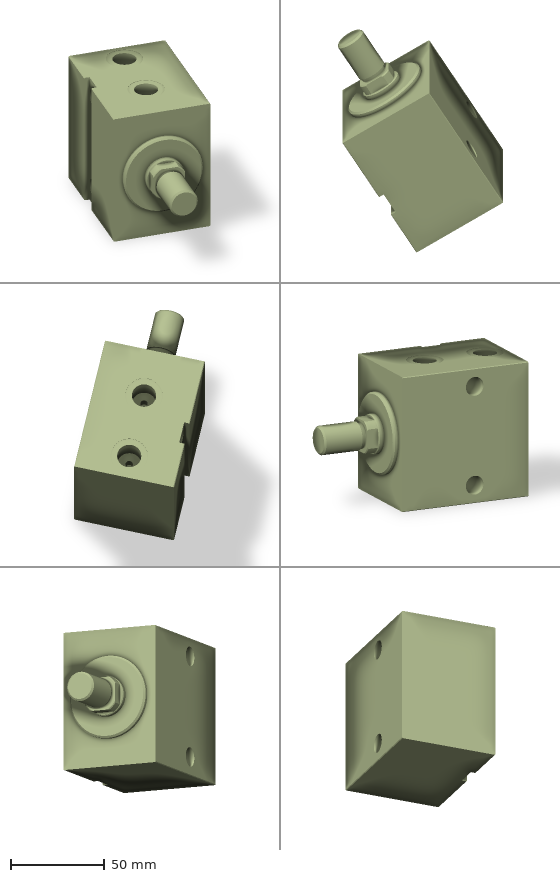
import cadquery as cq


housing_length = 75.0
housing_width = 55.0
housing_height = 75.0
long_edge_chamfer = 0.4

slot_center_x = 32.0
slot_width = 12.0
slot_depth = 3.0
bolt_hole_diameter = 10.5
bolt_hole_spacing = 55.0

rear_port_x = 12.5
front_port_x = 48.5
spotface_diameter = 20.0
spotface_depth = 0.2
port_diameter = 13.0
port_depth = 12.0
passage_diameter = 4.0

bore_diameter = 40.0
bore_rear_x = 5.0
piston_length = 20.0
piston_front_x = bore_rear_x + piston_length

gland_diameter = 45.0
gland_rear_x = 55.0
gland_projection = 3.0
gland_chamfer = 1.0
gland_front_x = housing_length + gland_projection

rod_diameter = 22.0
shank_projection = 3.0
shank_chamfer = 0.5
neck_diameter = rod_diameter - 2 * shank_chamfer
neck_length = 6.0
neck_chamfer = 0.5
across_flats = 18.0
undercut_diameter = 14.0
undercut_length = 2.5
undercut_fillet = 0.4
thread_diameter = 16.0
thread_length = 22.5
thread_chamfer = 1.0
shank_front_x = gland_front_x + shank_projection
neck_front_x = shank_front_x + neck_length
thread_rear_x = neck_front_x + undercut_length


def cylinder_x(diameter, rear_x, front_x):
    """Solid cylinder on the X axis between two X positions."""
    disc = cq.Workplane("YZ", origin=(rear_x, 0, 0)).circle(diameter / 2)
    return disc.extrude(front_x - rear_x)


def cylinder_down(diameter, x, top_z, bottom_z):
    """Solid vertical cylinder at (x, 0) from top_z down to bottom_z."""
    disc = cq.Workplane("XY", origin=(x, 0, bottom_z)).circle(diameter / 2)
    return disc.extrude(top_z - bottom_z)


def cut_slot(body):
    slot = cq.Workplane("XY").box(slot_width, 2 * slot_depth, housing_height)
    return body.cut(slot.translate((slot_center_x, -housing_width / 2, 0)))


def cut_bolt_holes(body):
    holes = (
        cq.Workplane("XZ", origin=(slot_center_x, 0, 0))
        .rarray(1, bolt_hole_spacing, 1, 2)
        .circle(bolt_hole_diameter / 2)
        .extrude(housing_width, both=True)
    )
    return body.cut(holes)


def cut_port(body, x):
    """Spotface, threaded port hole and narrow passage down into the bore."""
    top_z = housing_height / 2
    body = body.cut(cylinder_down(spotface_diameter, x, top_z, top_z - spotface_depth))
    body = body.cut(cylinder_down(port_diameter, x, top_z, top_z - port_depth))
    return body.cut(cylinder_down(passage_diameter, x, top_z, 0))


def make_housing():
    body = cq.Workplane("XY").box(housing_length, housing_width, housing_height)
    body = body.translate((housing_length / 2, 0, 0))
    body = body.edges("|X").chamfer(long_edge_chamfer)
    body = cut_slot(body)
    body = cut_bolt_holes(body)
    for x in (rear_port_x, front_port_x):
        body = cut_port(body, x)
    body = body.cut(cylinder_x(bore_diameter, bore_rear_x, gland_rear_x))
    return body.cut(cylinder_x(gland_diameter, gland_rear_x, housing_length))


def make_piston():
    return cylinder_x(bore_diameter, bore_rear_x, piston_front_x)


def make_gland():
    body = cylinder_x(gland_diameter, gland_rear_x, gland_front_x)
    body = body.faces(">X").chamfer(gland_chamfer)
    return body.cut(cylinder_x(rod_diameter, gland_rear_x, gland_front_x))


def make_neck():
    """Round neck with a chamfered front edge and four wrench flats."""
    neck = cylinder_x(neck_diameter, shank_front_x, neck_front_x)
    neck = neck.faces(">X").chamfer(neck_chamfer)
    square = cq.Workplane("YZ", origin=(shank_front_x, 0, 0))
    return neck.intersect(square.rect(across_flats, across_flats).extrude(neck_length))


def make_undercut():
    """Thread undercut whose waist flares out through a fillet at both ends."""
    waist = undercut_diameter / 2
    flare = waist + undercut_fillet
    profile = (
        cq.Workplane("XY")
        .moveTo(neck_front_x, 0)
        .lineTo(neck_front_x, flare)
        .radiusArc((neck_front_x + undercut_fillet, waist), -undercut_fillet)
        .lineTo(thread_rear_x - undercut_fillet, waist)
        .radiusArc((thread_rear_x, flare), -undercut_fillet)
        .lineTo(thread_rear_x, 0)
        .close()
    )
    return profile.revolve(360, (0, 0, 0), (1, 0, 0))


def make_rod():
    shank = cylinder_x(rod_diameter, piston_front_x, shank_front_x)
    shank = shank.faces(">X").chamfer(shank_chamfer)
    thread = cylinder_x(thread_diameter, thread_rear_x, thread_rear_x + thread_length)
    thread = thread.faces(">X").chamfer(thread_chamfer)
    return shank.union(make_neck()).union(make_undercut()).union(thread)


housing = make_housing()
piston = make_piston()
gland = make_gland()
rod = make_rod()

result = cq.Compound.makeCompound([housing.val(), piston.val(), gland.val(), rod.val()])